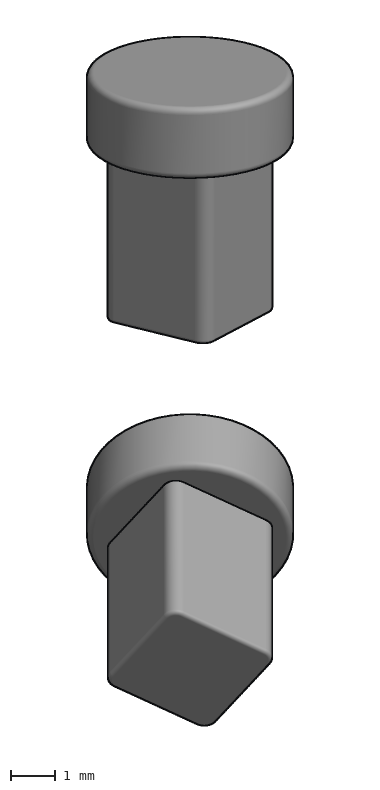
import cadquery as cq

total_height = 5.8
head_diameter = 4.6
head_height = 1.7
shank_width = 2.82

head_edge_radius = 0.15
shank_corner_radius = 0.315
shank_end_radius = 0.09

shank_length = total_height - head_height


def make_head():
    """Round head with both rims rounded, standing on top of the shank."""
    return (
        cq.Workplane("XY")
        .workplane(offset=shank_length)
        .circle(head_diameter / 2)
        .extrude(head_height)
        .edges()
        .fillet(head_edge_radius)
    )


def make_shank():
    """Square shank with rounded corners and a rounded lower end."""
    return (
        cq.Workplane("XY")
        .rect(shank_width, shank_width)
        .extrude(shank_length)
        .edges("|Z")
        .fillet(shank_corner_radius)
        .faces("<Z")
        .edges()
        .fillet(shank_end_radius)
    )


result = make_shank().union(make_head())